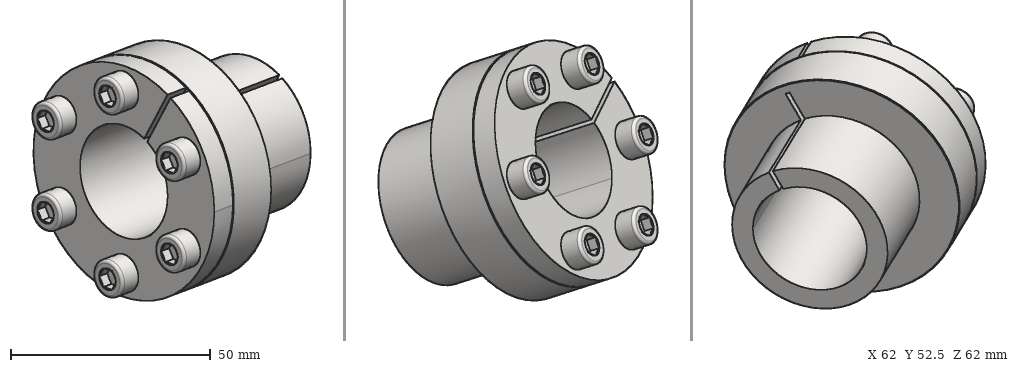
import cadquery as cq
import math


flange_dia = 62.0
flange_thickness = 7.0
ring_length = 14.0
ring_edge_chamfer = 0.2
tube_dia = 41.0
tube_length = 25.5
bore_dia = 30.0
housing_length = flange_thickness + ring_length + tube_length

slit_width = 1.2
slit_angle = 30.0
slit_radius_in_ring = 28.5

screw_count = 6
bolt_circle_radius = 24.5
shank_dia = 6.0
shank_length = 16.0
head_dia = 10.0
head_height = 6.0
head_fillet = 0.8
socket_sides = 6
socket_flats = 5.0
socket_corner_dia = socket_flats / math.cos(math.pi / socket_sides)
socket_mouth_slope = math.radians(30)
socket_mouth_depth = (socket_corner_dia - socket_flats) / 2 * math.tan(socket_mouth_slope)
socket_depth = 3.0


def cylinder_along_y(diameter, start_y, length):
    """Solid cylinder on the clamp axis, running from start_y toward +Y."""
    return cq.Workplane("XZ", origin=(0, start_y, 0)).circle(diameter / 2).extrude(-length)


def make_slit_cutter(outer_radius, length):
    """Thin radial slab from the axis to outer_radius, starting at the flange face."""
    slab = cq.Workplane("XY").box(slit_width, length, outer_radius, centered=(True, False, False))
    return slab.rotate((0, 0, 0), (0, 1, 0), slit_angle)


def at_screw_places(body):
    """Copies of a body modelled on the clamp axis, moved to each place on the bolt circle."""
    copies = []
    for index in range(screw_count):
        angle = 2 * math.pi * index / screw_count
        x = bolt_circle_radius * math.sin(angle)
        z = bolt_circle_radius * math.cos(angle)
        copies.append(body.translate((x, 0, z)))
    return copies


def make_housing():
    """Flange, ring and tube in one piece, bored, slit and drilled for the screws."""
    flange = cylinder_along_y(flange_dia, 0, flange_thickness)
    ring = cylinder_along_y(flange_dia, flange_thickness, ring_length)
    ring = ring.faces("<Y or >Y").edges().chamfer(ring_edge_chamfer)
    tube = cylinder_along_y(tube_dia, 0, housing_length)
    body = flange.union(ring).union(tube)

    body = body.cut(cylinder_along_y(bore_dia, 0, housing_length))
    body = body.cut(make_slit_cutter(flange_dia, flange_thickness))
    body = body.cut(make_slit_cutter(slit_radius_in_ring, housing_length))
    for screw_hole in at_screw_places(cylinder_along_y(shank_dia, 0, shank_length)):
        body = body.cut(screw_hole)
    return body


def make_screw():
    """Cap screw on the clamp axis, its head seated on the flange face."""
    head = cylinder_along_y(head_dia, -head_height, head_height)
    head = head.faces("<Y").edges().fillet(head_fillet)

    head_end = cq.Workplane("XZ", origin=(0, -head_height, 0))
    socket = head_end.polygon(socket_sides, socket_corner_dia).extrude(-socket_depth)
    lead_in = cq.Solid.makeCone(
        socket_corner_dia / 2,
        socket_flats / 2,
        socket_mouth_depth,
        pnt=cq.Vector(0, -head_height, 0),
        dir=cq.Vector(0, 1, 0),
    )
    shank = cylinder_along_y(shank_dia, 0, shank_length)
    return head.cut(socket).cut(cq.Workplane(lead_in)).union(shank)


housing = make_housing()
screws = at_screw_places(make_screw())

result = cq.Compound.makeCompound([housing.val(), *[screw.val() for screw in screws]])